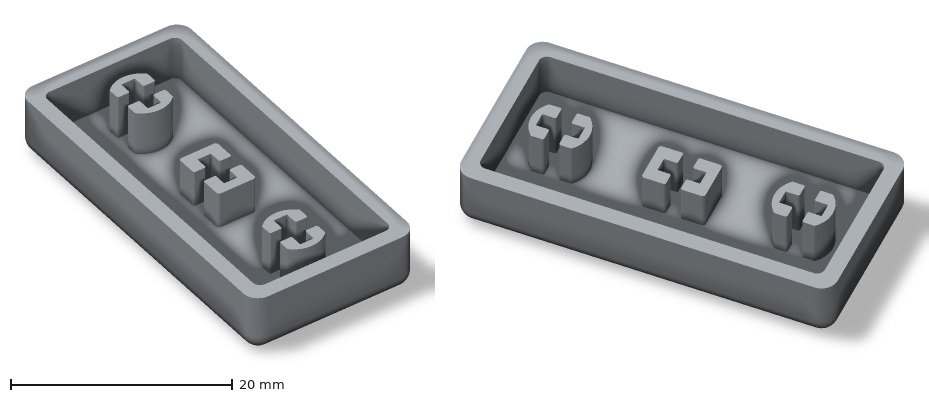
import cadquery as cq

length = 37.1
width = 18.05
height = 6.3
wall = 1.6
floor = wall
outer_radius = 1.6
pocket_radius = 0.78

post_width = 4.2
block_length = 6.25
block_height = 3.9
block_corner_radius = 0.3
round_post_diameter = 5.8
round_post_height = height - floor
round_post_offset = 12.0

slot_length = 4.2
slot_width = 1.5
jaw_tip_radius = 0.2
selection_margin = 0.05


def standing_box(size_x, size_y, size_z, base=floor):
    """Box centred on the Z axis with its underside at the height base."""
    plane = cq.Workplane("XY", origin=(0, 0, base))
    return plane.box(size_x, size_y, size_z, centered=(True, True, False))


def make_tray():
    """Box with rounded corners and lower rim, hollowed from above."""
    body = standing_box(length, width, height, base=0)
    body = body.edges("|Z").fillet(outer_radius)
    body = body.faces("<Z").edges().fillet(outer_radius)
    pocket = standing_box(length - 2 * wall, width - 2 * wall, height)
    pocket = pocket.edges("|Z").fillet(pocket_radius)
    return body.cut(pocket)


def split_into_jaws(post):
    """Cut the cross through a solid post and round the upright edges of the jaw tips."""
    gap = standing_box(slot_width, post_width, height)
    slot = standing_box(slot_length, slot_width, height)
    jaws = post.cut(gap).cut(slot)
    reach_x = slot_width / 2 + selection_margin
    reach_y = post_width / 2 + selection_margin
    tip_zone = cq.selectors.BoxSelector((-reach_x, -reach_y, 0), (reach_x, reach_y, height))
    return jaws.edges("|Z").edges(tip_zone).fillet(jaw_tip_radius)


def make_block_post():
    """Central rectangular post, lower than the tray rim."""
    block = standing_box(block_length, post_width, block_height)
    return split_into_jaws(block.edges("|Z").fillet(block_corner_radius))


def make_round_post():
    """Cylindrical post with flats on its two Y sides, level with the tray rim."""
    flats = standing_box(round_post_diameter, post_width, round_post_height)
    cylinder = cq.Workplane("XY", origin=(0, 0, floor)).circle(round_post_diameter / 2)
    return split_into_jaws(cylinder.extrude(round_post_height).intersect(flats))


result = make_tray().union(make_block_post())
for side in (-1, 1):
    result = result.union(make_round_post().translate((side * round_post_offset, 0, 0)))